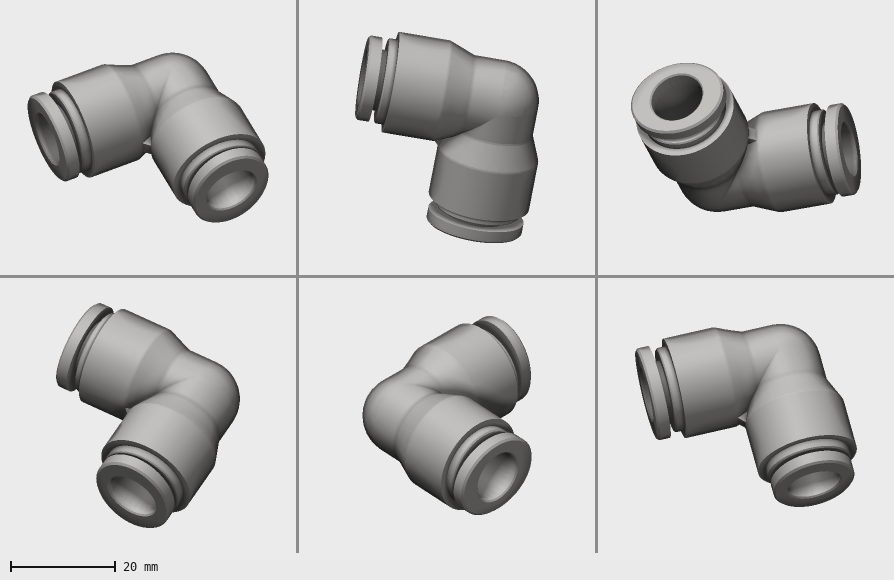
import cadquery as cq
import math


overall = 36.15
barrel_dia = 19.5
barrel_radius = barrel_dia / 2
neck_radius = 7.75

neck_end = 5.93
barrel_start = 11.0
barrel_end = 20.93
collar_end = 22.7
head_start = 23.93
port_end = overall - barrel_radius

blend_radius = 1.0
web_thickness = 2.55

collar_dia = 16.5
collar_chamfer = 0.25

stem_dia = 11.7
head_length = 18.47
head_width = 15.98
head_chamfer = 0.4

bore_dia = 10.15
sleeve_mouth_dia = 10.2
mouth_chamfer = 0.3

port_planes = [
    cq.Plane(origin=(0, 0, 0), xDir=(0, 0, 1), normal=(1, 0, 0)),
    cq.Plane(origin=(0, 0, 0), xDir=(1, 0, 0), normal=(0, -1, 0)),
]


def revolve_about_z(points):
    """Turn an (r, z) outline about the Z axis."""
    return cq.Workplane("XZ").polyline(points).close().revolve(360, (0, 0), (0, 1))


def disc(dia, start, end):
    """Solid cylinder on the Z axis between two stations."""
    return cq.Workplane("XY").workplane(offset=start).circle(dia / 2).extrude(end - start)


def place(body, plane):
    """Move a body from the local frame into a port frame."""
    return cq.Workplane(body.val().moved(plane.location))


def make_arm():
    """Outside of one housing arm: neck, cone and barrel, with rounded transitions."""
    arm = revolve_about_z([
        (0, 0),
        (neck_radius, 0),
        (neck_radius, neck_end),
        (barrel_radius, barrel_start),
        (barrel_radius, barrel_end),
        (0, barrel_end),
    ])
    return arm.faces("%CONE").edges("%CIRCLE").fillet(blend_radius)


def make_web():
    """Flat web across the inside corner, ending where the rounds of the two barrels begin."""
    cone_angle = math.atan2(barrel_radius - neck_radius, barrel_start - neck_end)
    tangent_length = blend_radius * math.tan(cone_angle / 2)
    web_far = barrel_start - tangent_length * math.cos(cone_angle)
    web_near = barrel_radius - tangent_length * math.sin(cone_angle)
    outline = [(0, 0), (web_far, 0), (web_far, -web_near), (web_near, -web_far), (0, -web_far)]
    return cq.Workplane("XY").polyline(outline).close().extrude(web_thickness / 2, both=True)


def make_housing():
    """Elbow with a rounded outer corner and a blind bore in each port."""
    housing = cq.Workplane("XY").sphere(neck_radius)
    arm = make_arm()
    for plane in port_planes:
        housing = housing.union(place(arm, plane))
    housing = housing.union(make_web())
    bore = disc(bore_dia, barrel_start, barrel_end)
    for plane in port_planes:
        housing = housing.cut(place(bore, plane))
    return housing


def make_collar():
    """Ring on the barrel face, chamfered on its outer rim."""
    ring = disc(collar_dia, barrel_end, collar_end).faces(">Z").edges().chamfer(collar_chamfer)
    return ring.cut(disc(bore_dia, barrel_end, collar_end))


def make_sleeve():
    """Release sleeve: round stem and chamfered oval head with a tapered bore."""
    head = (
        cq.Workplane("XY")
        .workplane(offset=head_start)
        .ellipse(head_length / 2, head_width / 2)
        .extrude(port_end - head_start)
        .faces(">Z")
        .edges()
        .chamfer(head_chamfer)
    )
    stem = disc(stem_dia, collar_end, head_start)
    mouth_radius = sleeve_mouth_dia / 2
    bore = revolve_about_z([
        (0, collar_end),
        (bore_dia / 2, collar_end),
        (mouth_radius, port_end - mouth_chamfer),
        (mouth_radius + mouth_chamfer, port_end),
        (0, port_end),
    ])
    return head.union(stem).cut(bore)


housing = make_housing()
collar = make_collar()
sleeve = make_sleeve()

collars = [place(collar, plane).val() for plane in port_planes]
sleeves = [place(sleeve, plane).val() for plane in port_planes]

result = cq.Compound.makeCompound([housing.val(), *collars, *sleeves])